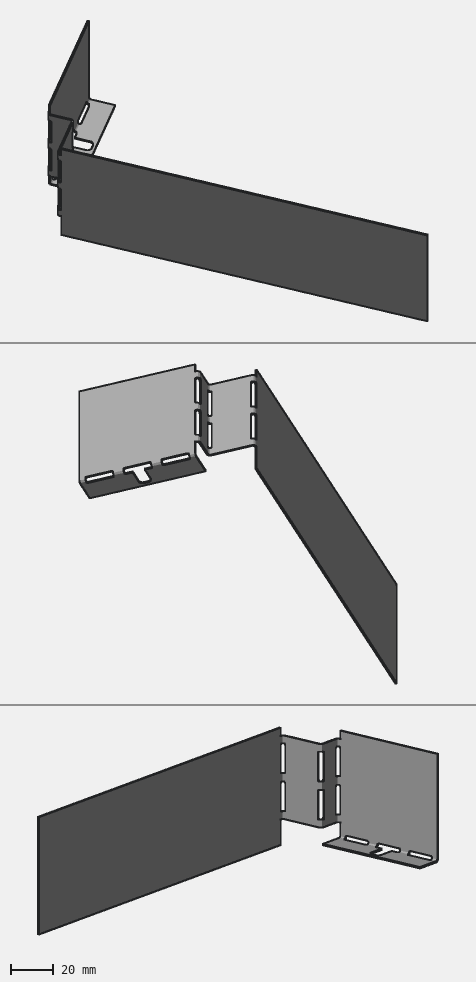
import cadquery as cq

length = 194.7
depth = 83.5
height = 57.5

sheet = 0.8
bend_radius = 1.8
bend_margin = 0.47
corner = bend_radius + bend_margin

step_face = 12.3
web_face = 23.2
lip_face = 4.5
lip_end = 13.6

strip_bottom = 12.5
strip_height = 40.9
strip_slots = 2
strip_slot_length = 14.6
strip_tab = 4.0
strip_slot_pitch = strip_slot_length + strip_tab

lip_slots = 3
lip_slot_length = 13.8
lip_tab = 5.3
lip_slot_pitch = lip_slot_length + lip_tab

slot_end_radius = 0.8

notch_width = 6.0
notch_end = 11.9
notch_radius = 2.0

plate_start = web_face + corner
plate_length = depth - plate_start
plate_middle = plate_start + plate_length / 2
strip_middle = strip_bottom + strip_height / 2
step_inner_face = step_face + sheet
web_inner_face = web_face + sheet
inner_radius = bend_radius - sheet


def box(x_range, y_range, z_range):
    """Box between the given start and end on each axis."""
    (x0, x1), (y0, y1), (z0, z1) = x_range, y_range, z_range
    return cq.Workplane("XY").box(x1 - x0, y1 - y0, z1 - z0, centered=False).translate((x0, y0, z0))


def row(count, pitch, middle):
    """Centres of a row of equally spaced slots."""
    return [middle + (i - (count - 1) / 2) * pitch for i in range(count)]


def make_strip():
    """Narrow Z-shaped strip with three rounded bends, up to the edges of the two big plates."""
    front_end = step_face + corner
    return (
        cq.Workplane("XY", origin=(0, 0, strip_bottom))
        .moveTo(0, plate_start)
        .lineTo(0, web_face + bend_radius)
        .radiusArc((bend_radius, web_face), -bend_radius)
        .lineTo(step_inner_face - bend_radius, web_face)
        .radiusArc((step_face, web_inner_face - bend_radius), inner_radius)
        .lineTo(step_face, bend_radius)
        .radiusArc((step_face + bend_radius, 0), -bend_radius)
        .lineTo(front_end, 0)
        .lineTo(front_end, sheet)
        .lineTo(step_face + bend_radius, sheet)
        .radiusArc((step_inner_face, bend_radius), inner_radius)
        .lineTo(step_inner_face, web_inner_face - bend_radius)
        .radiusArc((step_inner_face - bend_radius, web_inner_face), -bend_radius)
        .lineTo(bend_radius, web_inner_face)
        .radiusArc((sheet, web_face + bend_radius), inner_radius)
        .lineTo(sheet, plate_start)
        .close()
        .extrude(strip_height)
    )


def make_lip():
    """Bottom lip with its rounded bend, up to the lower edge of the side plate."""
    plate_bottom = lip_face + corner
    lip = (
        cq.Workplane("XZ", origin=(0, depth, 0))
        .moveTo(0, plate_bottom)
        .lineTo(0, lip_face + bend_radius)
        .radiusArc((bend_radius, lip_face), -bend_radius)
        .lineTo(lip_end, lip_face)
        .lineTo(lip_end, lip_face + sheet)
        .lineTo(bend_radius, lip_face + sheet)
        .radiusArc((sheet, lip_face + bend_radius), inner_radius)
        .lineTo(sheet, plate_bottom)
        .close()
        .extrude(plate_length)
    )
    half = notch_width / 2
    notch = box((0, notch_end), (plate_middle - half, plate_middle + half), (lip_face, lip_face + sheet))
    return lip.cut(notch.edges("|Z and >X").fillet(notch_radius))


def upright_slots(x_start, y_start, margin_edges):
    """Slots through an upright bend; the corners lying in the flat margins are rounded."""
    half = strip_slot_length / 2
    slots = cq.Workplane("XY")
    for z in row(strip_slots, strip_slot_pitch, strip_middle):
        slot = box((x_start, x_start + corner), (y_start, y_start + corner), (z - half, z + half))
        for edge in margin_edges:
            slot = slot.edges(edge).fillet(slot_end_radius)
        slots = slots.add(slot)
    return slots.combine()


def lip_bend_slots():
    """Slots through the bend of the bottom lip, rounded in the flat margins."""
    half = lip_slot_length / 2
    slots = cq.Workplane("XY")
    for y in row(lip_slots, lip_slot_pitch, plate_middle):
        slot = box((0, corner), (y - half, y + half), (lip_face, lip_face + corner))
        slot = slot.edges("|Z and >X").fillet(slot_end_radius).edges("|X and >Z").fillet(slot_end_radius)
        slots = slots.add(slot)
    return slots.combine()


side_plate = box((0, sheet), (plate_start, depth), (lip_face + corner, height))
front_plate = box((step_face + corner, length), (0, sheet), (0, height))

outer_corner_edges = ["|Y and >X", "|X and >Y"]
inner_corner_edges = ["|Y and <X", "|X and <Y"]

result = side_plate.union(front_plate).union(make_strip()).union(make_lip())
result = result.cut(upright_slots(0, web_face, outer_corner_edges))
result = result.cut(upright_slots(step_inner_face - corner, web_inner_face - corner, inner_corner_edges))
result = result.cut(upright_slots(step_face, 0, outer_corner_edges))
result = result.cut(lip_bend_slots())